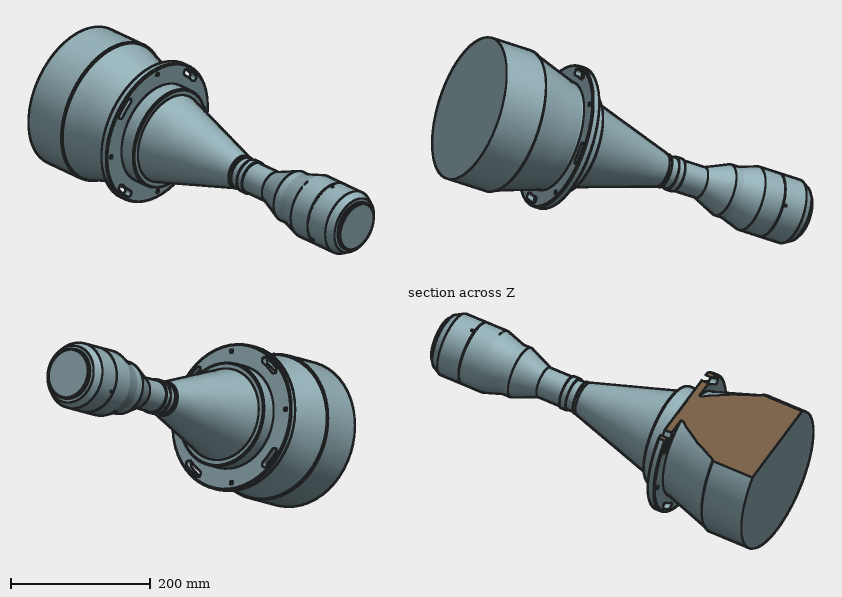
import cadquery as cq
import math

TOTAL_LENGTH = 549.0

HEAD_RADIUS = 106.0
HEAD_END = 66.5
HEAD_CHAMFER = 1.5
FRONT_CONE_END = 139.5
FRONT_NECK_RADIUS = 81.0

FLANGE_START = 142.5
FLANGE_THICKNESS = 12.0
FLANGE_RADIUS = HEAD_RADIUS
FLANGE_CHAMFER = 1.5
FLANGE_END = FLANGE_START + FLANGE_THICKNESS

COLLAR_END = 179.0
COLLAR_RADIUS = 75.0
COLLAR_CHAMFER = 1.5

LONG_CONE_START_RADIUS = 66.5
LONG_CONE_END = 316.0
LONG_CONE_END_RADIUS = 26.0
NECK_RADIUS = 23.0
NECK_RING_RADIUS = 24.5
NECK_LIP_START = 318.0
NECK_LIP_END = 322.0
NECK_RING_START = 334.5
NECK_RING_END = 344.0
NECK_END = 382.5

STEP_START = 420.5
STEP_END = 433.5
STEP_RADIUS = 38.5
BARREL_START = 463.0
BARREL_RADIUS = 48.0
BARREL_JOINT = 496.0
JOINT_GROOVE_WIDTH = 0.5
JOINT_GROOVE_DEPTH = 2.0
BARREL_END = 531.5
BARREL_NOSE_END = 543.5
BARREL_NOSE_RADIUS = 41.0

MOUNT_RADIUS = 36.0
MOUNT_CHAMFER = 1.5

PITCH_RADIUS = 96.0
SLOT_ANGLES = (45, 135, 225, 315)
SLOT_SWEEP = 14.0
SLOT_WIDTH = 9.5
PIN_ANGLES = (0, 90, 180, 270)
PIN_DIAMETER = 5.0

NOTCH_ANGLES = (90, 210, 330)
NOTCH_LENGTH = 5.5
NOTCH_WIDTH = 2.0
NOTCH_DEPTH = 1.0


def make_body():
    """Revolve the half profile (axial position, radius) about the X axis."""
    profile = [
        (0, 0),
        (0, HEAD_RADIUS),
        (HEAD_END - HEAD_CHAMFER, HEAD_RADIUS),
        (HEAD_END, HEAD_RADIUS - HEAD_CHAMFER),
        (FRONT_CONE_END, FRONT_NECK_RADIUS),
        (FLANGE_START, FRONT_NECK_RADIUS),
        (FLANGE_START, FLANGE_RADIUS - FLANGE_CHAMFER),
        (FLANGE_START + FLANGE_CHAMFER, FLANGE_RADIUS),
        (FLANGE_END - FLANGE_CHAMFER, FLANGE_RADIUS),
        (FLANGE_END, FLANGE_RADIUS - FLANGE_CHAMFER),
        (FLANGE_END, COLLAR_RADIUS),
        (COLLAR_END - COLLAR_CHAMFER, COLLAR_RADIUS),
        (COLLAR_END, COLLAR_RADIUS - COLLAR_CHAMFER),
        (COLLAR_END, LONG_CONE_START_RADIUS),
        (LONG_CONE_END, LONG_CONE_END_RADIUS),
        (NECK_LIP_START, NECK_RING_RADIUS),
        (NECK_LIP_END, NECK_RING_RADIUS),
        (NECK_LIP_END, NECK_RADIUS),
        (NECK_RING_START, NECK_RADIUS),
        (NECK_RING_START, NECK_RING_RADIUS),
        (NECK_RING_END, NECK_RING_RADIUS),
        (NECK_RING_END, NECK_RADIUS),
        (NECK_END, NECK_RADIUS),
        (STEP_START, STEP_RADIUS),
        (STEP_END, STEP_RADIUS),
        (BARREL_START, BARREL_RADIUS),
        (BARREL_JOINT, BARREL_RADIUS),
        (BARREL_JOINT, BARREL_RADIUS - JOINT_GROOVE_DEPTH),
        (BARREL_JOINT + JOINT_GROOVE_WIDTH, BARREL_RADIUS - JOINT_GROOVE_DEPTH),
        (BARREL_JOINT + JOINT_GROOVE_WIDTH, BARREL_RADIUS),
        (BARREL_END, BARREL_RADIUS),
        (BARREL_NOSE_END, BARREL_NOSE_RADIUS),
        (BARREL_NOSE_END, MOUNT_RADIUS - MOUNT_CHAMFER),
        (BARREL_NOSE_END + MOUNT_CHAMFER, MOUNT_RADIUS),
        (TOTAL_LENGTH - MOUNT_CHAMFER, MOUNT_RADIUS),
        (TOTAL_LENGTH, MOUNT_RADIUS - MOUNT_CHAMFER),
        (TOTAL_LENGTH, 0),
    ]
    return cq.Workplane("XY").polyline(profile).close().revolve(360, (0, 0, 0), (1, 0, 0))


def polar(radius, angle):
    """Point in the YZ plane at an angle in degrees from +Y toward +Z."""
    return radius * math.cos(math.radians(angle)), radius * math.sin(math.radians(angle))


def flange_plane():
    """Sketch plane on the front face of the flange."""
    return cq.Workplane("YZ", origin=(FLANGE_START, 0, 0))


def make_slot(angle):
    """Curved slot through the flange, centred on the pitch circle."""
    first = angle - SLOT_SWEEP / 2
    last = angle + SLOT_SWEEP / 2
    outer = PITCH_RADIUS + SLOT_WIDTH / 2
    inner = PITCH_RADIUS - SLOT_WIDTH / 2
    end_bulge = math.degrees(SLOT_WIDTH / 2 / PITCH_RADIUS)
    return (
        flange_plane()
        .moveTo(*polar(outer, first))
        .threePointArc(polar(outer, angle), polar(outer, last))
        .threePointArc(polar(PITCH_RADIUS, last + end_bulge), polar(inner, last))
        .threePointArc(polar(inner, angle), polar(inner, first))
        .threePointArc(polar(PITCH_RADIUS, first - end_bulge), polar(outer, first))
        .close()
        .extrude(FLANGE_THICKNESS)
    )


def make_pin_holes():
    """Small holes through the flange, between the slots."""
    centres = [polar(PITCH_RADIUS, angle) for angle in PIN_ANGLES]
    return flange_plane().pushPoints(centres).circle(PIN_DIAMETER / 2).extrude(FLANGE_THICKNESS)


def make_notch(angle):
    """Shallow axial notch in the barrel surface; built at +Y, then turned about X."""
    cutter_height = 2 * NOTCH_DEPTH
    notch = cq.Workplane("XY").box(NOTCH_LENGTH, cutter_height, NOTCH_WIDTH, centered=(False, True, True))
    return notch.translate((BARREL_JOINT, BARREL_RADIUS, 0)).rotate((0, 0, 0), (1, 0, 0), angle)


result = make_body()
for slot_angle in SLOT_ANGLES:
    result = result.cut(make_slot(slot_angle))
result = result.cut(make_pin_holes())
for notch_angle in NOTCH_ANGLES:
    result = result.cut(make_notch(notch_angle))